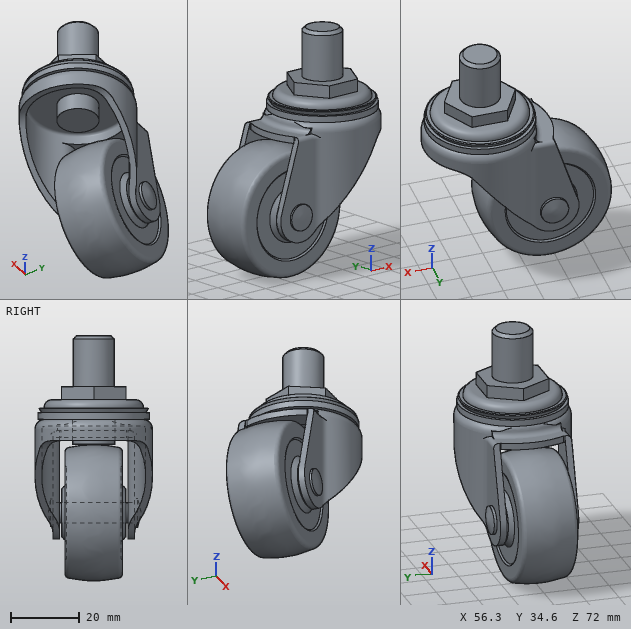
import cadquery as cq
import math


wheel_radius = 20.0
wheel_half_width = 8.5
tread_edge_radius = 18.9
tread_edge_fillet = 1.45
rim_inner_radius = 14.0
web_recess = 0.5
boss_half_width = 9.4
boss_base_radius = 8.5

axle_x = -19.0
axle_radius = 3.0
front_head_radius = 4.0
front_head_height = 0.65
front_crown_height = 0.65
back_head_radius = 4.25
back_head_height = 0.9
back_crown_height = 1.1

sheet = 2.0
fork_radius = 17.3
fork_top = 27.4
shoulder_fillet = 2.9
cheek_half_width = 12.0
cheek_blend = 3.95
cheek_end_radius = 7.7
cheek_front_angle = 17.6
skirt_slope_angle = 50.0
skirt_slope_blend = 7.2
skirt_bottom = 21.2
bridge_top = 24.1
bridge_radius = 21.7
bridge_bend = 1.45
dome_front_x = -16.2
dome_front_curve = 24.5
dome_foot_fillet = 1.7

ring_height = 1.95
ring_radius = 16.4
rim_lower_radius = 15.3
rim_edge_radius = 16.05
rim_upper_radius = 15.7
rim_flare_height = 1.2
rim_height = 1.45
cap_radius = 14.6
cap_height = 2.4
cap_fillet = 2.3
hex_across_flats = 19.0
hex_height = 3.8
stud_radius = 6.05
stud_top = 52.0
stud_chamfer = 1.0
pivot_radius = 6.2
pivot_bottom = 20.1

front_reach = 32.4
side_reach = 21.6


def make_wheel():
    web_half_width = wheel_half_width - web_recess
    side = [
        (axle_radius, boss_half_width),
        (boss_base_radius - (boss_half_width - web_half_width), boss_half_width),
        (boss_base_radius, web_half_width),
        (rim_inner_radius - web_recess, web_half_width),
        (rim_inner_radius, wheel_half_width),
        (tread_edge_radius, wheel_half_width),
    ]
    other_side = [(radius, -offset) for radius, offset in reversed(side)]
    wheel = (
        cq.Workplane("XY", origin=(axle_x, 0, 0))
        .polyline(side)
        .threePointArc((wheel_radius, 0), other_side[0])
        .polyline(other_side[1:], includeCurrent=True)
        .close()
        .revolve(360, (0, 0), (0, 1))
    )
    tread_edges = cq.selectors.RadiusNthSelector(-2)
    return wheel.edges("%CIRCLE").edges(tread_edges).fillet(tread_edge_fillet)


def make_axle():
    front_edge_y = -cheek_half_width - front_head_height
    back_edge_y = cheek_half_width + back_head_height
    profile = [
        (0, front_edge_y - front_crown_height),
        (front_head_radius, front_edge_y),
        (front_head_radius, -cheek_half_width),
        (axle_radius, -cheek_half_width),
        (axle_radius, cheek_half_width),
        (back_head_radius, cheek_half_width),
        (back_head_radius, back_edge_y),
        (0, back_edge_y + back_crown_height),
    ]
    return (
        cq.Workplane("XY", origin=(axle_x, 0, 0))
        .polyline(profile).close().revolve(360, (0, 0), (0, 1))
    )


def keyhole(inset, top):
    """Prism with the fork's plan: a round skirt blended into two parallel cheeks."""
    radius = fork_radius - inset
    half_width = cheek_half_width - inset
    blend = cheek_blend + inset
    blend_y = half_width + blend
    blend_x = -math.sqrt((radius + blend) ** 2 - blend_y ** 2)
    to_axis = radius / (radius + blend)
    skirt_x, skirt_y = blend_x * to_axis, blend_y * to_axis
    mid_angle = (-math.pi / 2 + math.atan2(-blend_y, -blend_x)) / 2
    mid_x = blend_x + blend * math.cos(mid_angle)
    mid_y = blend_y + blend * math.sin(mid_angle)
    return (
        cq.Workplane("XY", origin=(0, 0, -cheek_end_radius))
        .moveTo(-front_reach, -half_width)
        .lineTo(blend_x, -half_width)
        .threePointArc((mid_x, -mid_y), (skirt_x, -skirt_y))
        .threePointArc((radius, 0), (skirt_x, skirt_y))
        .threePointArc((mid_x, mid_y), (blend_x, half_width))
        .lineTo(-front_reach, half_width)
        .close()
        .extrude(top + cheek_end_radius)
    )


def dome(inset):
    """Round skirt with its filleted top."""
    height = fork_top - inset + cheek_end_radius
    return (
        cq.Workplane("XY", origin=(0, 0, -cheek_end_radius))
        .circle(fork_radius - inset).extrude(height)
        .faces(">Z").edges().fillet(shoulder_fillet - inset)
    )


def front_edge_x(z):
    """X of the leaning front edge of the cheeks at height z."""
    lean = math.radians(cheek_front_angle)
    tangent_x = axle_x - cheek_end_radius * math.cos(lean)
    tangent_z = cheek_end_radius * math.sin(lean)
    return tangent_x + (z - tangent_z) * math.tan(lean)


def front_box(half_width, bottom, top, rear_x=0.0):
    """Box from far in front of the fork back to rear_x."""
    return (
        cq.Workplane("XY", origin=((rear_x - front_reach) / 2, 0, (bottom + top) / 2))
        .box(rear_x + front_reach, 2 * half_width, top - bottom)
    )


def front_foot():
    """Raised stock in front of the dome, from which the concave foot is formed."""
    return front_box(cheek_half_width - bridge_bend, bridge_top - sheet, bridge_top + dome_foot_fillet)


def front_relief():
    """Space above the bridge plate, in front of the S-curved front of the dome."""
    curve_x = dome_front_x + dome_front_curve
    foot_z = bridge_top + dome_foot_fillet
    foot_x = dome_front_curve + dome_foot_fillet
    foot_bend = dome_foot_fillet * math.sqrt(0.5)
    crown_fillet = fork_top - foot_z
    crown_x = dome_front_curve - crown_fillet
    crown_bend = crown_fillet * math.sqrt(0.5)
    outer_radius = curve_x + front_reach
    around = (
        cq.Workplane("XZ", origin=(curve_x, 0, 0))
        .moveTo(crown_x, fork_top)
        .threePointArc((crown_x + crown_bend, foot_z + crown_bend), (dome_front_curve, foot_z))
        .threePointArc((foot_x - foot_bend, foot_z - foot_bend), (foot_x, bridge_top))
        .lineTo(outer_radius, bridge_top)
        .lineTo(outer_radius, fork_top)
        .close()
        .revolve(360, (0, 0), (0, 1))
    )
    return around.intersect(front_box(cheek_half_width - bridge_bend, bridge_top, fork_top))


def side_outline():
    """Fork outline in XZ: leaning front edge, rounded cheek end, sloping rear edge."""
    lean = math.radians(cheek_front_angle)
    slope = math.radians(skirt_slope_angle)
    front_z = cheek_end_radius * math.sin(lean)
    rear_x = axle_x + cheek_end_radius * math.sin(slope)
    rear_z = -cheek_end_radius * math.cos(slope)
    corner_x = rear_x + (skirt_bottom - rear_z) / math.tan(slope)
    tangent = skirt_slope_blend * math.tan(slope / 2)
    blend_end_x = corner_x + tangent
    blend_mid_x = blend_end_x - skirt_slope_blend * math.sin(slope / 2)
    blend_mid_z = skirt_bottom - skirt_slope_blend * (1 - math.cos(slope / 2))
    return (
        cq.Workplane("XZ")
        .moveTo(front_edge_x(fork_top), fork_top)
        .lineTo(front_edge_x(front_z), front_z)
        .threePointArc((axle_x, -cheek_end_radius), (rear_x, rear_z))
        .lineTo(corner_x - tangent * math.cos(slope), skirt_bottom - tangent * math.sin(slope))
        .threePointArc((blend_mid_x, blend_mid_z), (blend_end_x, skirt_bottom))
        .lineTo(side_reach, skirt_bottom)
        .lineTo(side_reach, fork_top)
        .close()
        .extrude(side_reach, both=True)
    )


def make_fork():
    neck = keyhole(0, bridge_top).faces(">Z").edges("|X").fillet(bridge_bend)
    outside = neck.union(dome(0)).union(front_foot()).cut(front_relief())
    inside = keyhole(sheet, bridge_top - sheet).union(dome(sheet))
    shell = outside.cut(inside)

    inner_half_width = cheek_half_width - sheet
    bridge_bottom = bridge_top - sheet
    bridge_zone = (
        cq.Workplane("XY", origin=(0, 0, bridge_bottom)).circle(bridge_radius).extrude(sheet)
        .intersect(front_box(inner_half_width, bridge_bottom, bridge_top))
    )
    bridge_corners = front_box(inner_half_width, bridge_bottom, bridge_top, front_edge_x(bridge_top))
    fork = (
        shell.intersect(side_outline())
        .cut(bridge_corners)
        .union(shell.intersect(bridge_zone))
    )

    axle_hole = cq.Workplane("XZ", origin=(axle_x, 0, 0)).circle(axle_radius).extrude(side_reach, both=True)
    pivot_hole = cq.Workplane("XY").circle(pivot_radius).extrude(fork_top)
    return fork.cut(axle_hole).cut(pivot_hole)


def make_stem():
    ring_top = fork_top + ring_height
    rim_top = ring_top + rim_height
    cap_top = rim_top + cap_height
    hex_top = cap_top + hex_height

    ring = cq.Workplane("XY", origin=(0, 0, fork_top)).circle(ring_radius).extrude(ring_height)
    rim_profile = [
        (0, ring_top),
        (rim_lower_radius, ring_top),
        (rim_edge_radius, ring_top + rim_flare_height),
        (rim_upper_radius, rim_top),
        (0, rim_top),
    ]
    rim = cq.Workplane("XZ").polyline(rim_profile).close().revolve(360, (0, 0), (0, 1))
    cap_corner = cap_radius - cap_fillet
    cap_bend = cap_fillet * math.sqrt(0.5)
    cap = (
        cq.Workplane("XZ")
        .moveTo(0, rim_top)
        .lineTo(cap_radius, rim_top)
        .threePointArc((cap_corner + cap_bend, cap_top - cap_fillet + cap_bend), (cap_corner, cap_top))
        .lineTo(0, cap_top)
        .close()
        .revolve(360, (0, 0), (0, 1))
    )
    hexagon = (
        cq.Workplane("XY", origin=(0, 0, cap_top))
        .polygon(6, hex_across_flats / math.cos(math.pi / 6)).extrude(hex_height)
    )
    stud = (
        cq.Workplane("XY", origin=(0, 0, hex_top))
        .circle(stud_radius).extrude(stud_top - hex_top)
        .faces(">Z").chamfer(stud_chamfer)
    )
    pivot = cq.Workplane("XY", origin=(0, 0, pivot_bottom)).circle(pivot_radius).extrude(fork_top - pivot_bottom)
    return pivot.union(ring).union(rim).union(cap).union(hexagon).union(stud)


stem = make_stem()
fork = make_fork()
wheel = make_wheel()
axle = make_axle()

result = cq.Compound.makeCompound([stem.val(), fork.val(), wheel.val(), axle.val()])